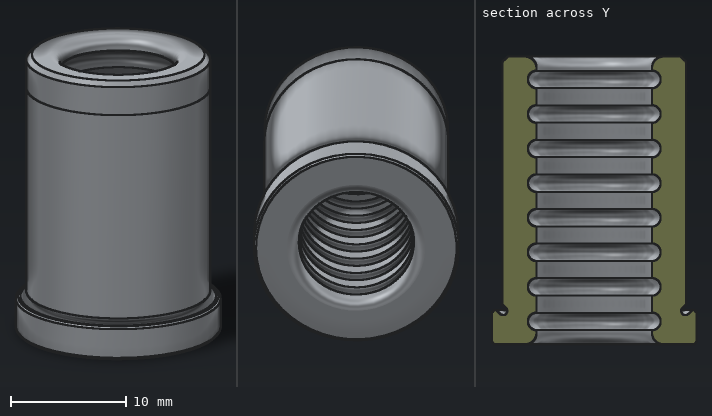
import cadquery as cq
import math

length = 25.0
head_radius = 8.9
head_height = 3.0
head_chamfer = 0.2
body_radius = 8.0
lead_length = 3.0
lead_clearance = 0.01
tip_radius = 7.5
tip_chamfer_height = 0.45

bore_radius = 5.0
mouth_fillet = 1.0
groove_radius = 0.75
groove_pitch = 3.0
groove_count = 8

undercut_leg = 0.5
undercut_run = 0.32


def make_outer_body():
    lead_radius = body_radius - lead_clearance
    lead_start = length - lead_length
    return (
        cq.Workplane("XZ")
        .moveTo(0, 0)
        .lineTo(head_radius - head_chamfer, 0)
        .lineTo(head_radius, head_chamfer)
        .lineTo(head_radius, head_height - head_chamfer)
        .lineTo(head_radius - head_chamfer, head_height)
        .lineTo(body_radius, head_height)
        .lineTo(body_radius, lead_start)
        .lineTo(lead_radius, lead_start)
        .lineTo(lead_radius, length - tip_chamfer_height)
        .lineTo(tip_radius, length)
        .lineTo(0, length)
        .close()
        .revolve(360, (0, 0, 0), (0, 1, 0))
    )


def make_undercut():
    """Ring with 45 degree flanks and a round end, cut into the corner."""
    body_edge = (body_radius, head_height + undercut_leg)
    head_edge = (body_radius + undercut_leg, head_height)
    body_flank_end = (body_edge[0] - undercut_run, body_edge[1] - undercut_run)
    head_flank_end = (head_edge[0] - undercut_run, head_edge[1] - undercut_run)
    end_radius = undercut_leg * math.sqrt(0.5)
    centre_inset = undercut_run - undercut_leg / 2
    middle_offset = centre_inset + end_radius * math.sqrt(0.5)
    end_middle = (body_radius - middle_offset, head_height - middle_offset)
    return (
        cq.Workplane("XZ")
        .moveTo(*body_edge)
        .lineTo(*body_flank_end)
        .threePointArc(end_middle, head_flank_end)
        .lineTo(*head_edge)
        .close()
        .revolve(360, (0, 0, 0), (0, 1, 0))
    )


def make_bore():
    mouth_radius = bore_radius + mouth_fillet
    arc_inset = mouth_fillet * (1 - math.sqrt(0.5))
    arc_radius = bore_radius + arc_inset
    return (
        cq.Workplane("XZ")
        .moveTo(0, 0)
        .lineTo(mouth_radius, 0)
        .threePointArc((arc_radius, arc_inset), (bore_radius, mouth_fillet))
        .lineTo(bore_radius, length - mouth_fillet)
        .threePointArc((arc_radius, length - arc_inset), (mouth_radius, length))
        .lineTo(0, length)
        .close()
        .revolve(360, (0, 0, 0), (0, 1, 0))
    )


def make_groove(height):
    """Ring with a half-round section that opens into the bore."""
    return (
        cq.Workplane("XZ")
        .moveTo(0, height - groove_radius)
        .lineTo(bore_radius, height - groove_radius)
        .threePointArc((bore_radius + groove_radius, height), (bore_radius, height + groove_radius))
        .lineTo(0, height + groove_radius)
        .close()
        .revolve(360, (0, 0, 0), (0, 1, 0))
    )


result = make_outer_body().cut(make_undercut()).cut(make_bore())

first_groove = (length - (groove_count - 1) * groove_pitch) / 2
for index in range(groove_count):
    result = result.cut(make_groove(first_groove + index * groove_pitch))